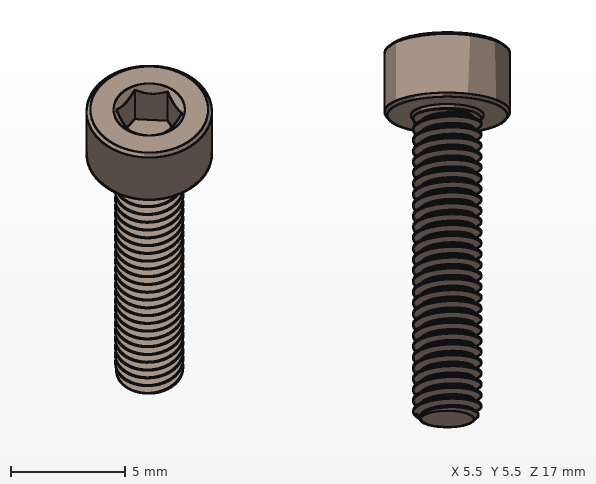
import cadquery as cq
import math

total_length = 17.0
head_diameter = 5.5
head_height = 3.0
shank_length = total_length - head_height

top_chamfer_width = 0.17
top_chamfer_height = 0.14
bottom_chamfer_width = 0.12
bottom_chamfer_height = 0.15

hex_across_flats = 2.5
hex_half_angle = math.radians(30)
hex_across_corners = hex_across_flats / math.cos(hex_half_angle)
socket_depth = 2.0
lead_in_diameter = 3.13
lead_in_depth = 0.32
lead_in_bottom_radius = hex_across_flats / 2

thread_diameter = 3.0
root_diameter = 2.35
shank_turns = 28
pitch = shank_length / shank_turns
crest_width = pitch / 8
flank_angle = 30
crest_height_on_x = 0.42
overrun_turns = 2
ridge_overlap = 0.02
tip_chamfer = (thread_diameter - root_diameter) / 2

collar_diameter = 3.2
collar_height = 0.15


def make_head():
    """Cylindrical head with both outer edges chamfered."""
    radius = head_diameter / 2
    return (
        cq.Workplane("XZ")
        .lineTo(radius - bottom_chamfer_width, 0)
        .lineTo(radius, bottom_chamfer_height)
        .lineTo(radius, head_height - top_chamfer_height)
        .lineTo(radius - top_chamfer_width, head_height)
        .lineTo(0, head_height)
        .close()
        .revolve(360, (0, 0, 0), (0, 1, 0))
    )


def make_socket():
    """Hexagonal pocket, corners on the Y axis, joined to its conical lead-in."""
    hexagon = (
        cq.Workplane("XY", origin=(0, 0, head_height))
        .transformed(rotate=(0, 0, 90))
        .polygon(6, hex_across_corners)
        .extrude(-socket_depth)
    )
    lead_in = cq.Workplane(
        cq.Solid.makeCone(
            lead_in_bottom_radius,
            lead_in_diameter / 2,
            lead_in_depth,
            cq.Vector(0, 0, head_height - lead_in_depth),
        )
    )
    return hexagon.union(lead_in)


def make_ridge():
    """Helical ridge that overruns both ends of the shank, bounded by ruled faces."""
    crest_radius = thread_diameter / 2
    base_radius = root_diameter / 2 - ridge_overlap
    half_crest = crest_width / 2
    half_base = half_crest + (crest_radius - base_radius) * math.tan(math.radians(flank_angle))
    start = crest_height_on_x - shank_length - overrun_turns * pitch
    turns = shank_turns + 2 * overrun_turns
    profile = [
        (base_radius, -half_base),
        (crest_radius, -half_crest),
        (crest_radius, half_crest),
        (base_radius, half_base),
    ]
    helices = [
        cq.Wire.makeHelix(pitch, turns * pitch, radius, cq.Vector(0, 0, start + offset))
        for radius, offset in profile
    ]
    faces = []
    for first, second in zip(helices, helices[1:] + helices[:1]):
        faces += cq.Face.makeRuledSurface(first, second).Faces()
    for height in (start, start + turns * pitch):
        corners = [cq.Vector(radius, 0, height + offset) for radius, offset in profile]
        faces.append(cq.Face.makeFromWires(cq.Wire.makePolygon(corners, close=True)))
    return cq.Workplane(cq.Solid.makeSolid(cq.Shell.makeShell(faces)))


def make_shank():
    """Threaded shank with a chamfered tip and a flared collar at the head."""
    core = cq.Workplane("XY").circle(root_diameter / 2).extrude(-shank_length)
    envelope = (
        cq.Workplane("XY")
        .circle(thread_diameter / 2 + ridge_overlap)
        .extrude(-shank_length)
        .faces("<Z")
        .chamfer(tip_chamfer + ridge_overlap)
    )
    collar = cq.Workplane(
        cq.Solid.makeCone(
            thread_diameter / 2, collar_diameter / 2, collar_height, cq.Vector(0, 0, -collar_height)
        )
    )
    ridge = make_ridge().intersect(envelope)
    return core.union(ridge).union(collar)


result = make_head().union(make_shank()).cut(make_socket())